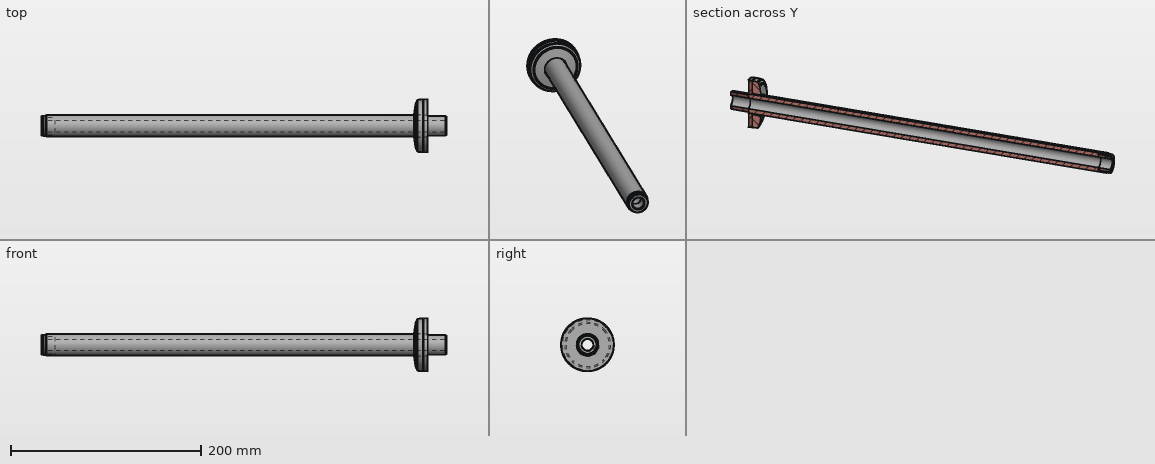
import cadquery as cq

overall_length = 426.0
flange_radius = 28.0
tube_radius = 11.5
bore_radius = 6.0

lip_length = 2.6
lip_radius = 10.6
lip_chamfer = 0.7
shank_radius = 9.2
insert_length = 14.0
mouth_chamfer = 1.0
ring_width = 2.2
ring_radius = tube_radius - 0.7
ring_end = lip_length + ring_width
tube_end_chamfer = 0.6

inlet_length = 20.0
flange_back = overall_length - inlet_length
flange_thickness = 14.4
flange_front = flange_back - flange_thickness
base_thickness = 4.2
base_front = flange_back - base_thickness
cover_hole_radius = tube_radius + 0.6
seam_chamfer = 0.8
face_radius = 22.6
face_drop = 1.5
bead_radius = 24.0
bead_drop = 0.7
shoulder_radius = 26.6
shoulder_drop = 1.1
rim_start_radius = 27.5
rim_drop = 1.0
rim_bulge_radius = 27.85

inlet_radius = 10.5
inlet_chamfer = 1.2


def sleeve(start, end, outer, inner):
    """Plain tube along X."""
    ring = cq.Workplane("YZ", origin=(start, 0, 0)).circle(outer).circle(inner)
    return ring.extrude(end - start)


def make_tube():
    tube = sleeve(ring_end, flange_back, tube_radius, bore_radius)
    socket = cq.Workplane("YZ", origin=(ring_end, 0, 0)).circle(shank_radius)
    tube = tube.cut(socket.extrude(insert_length - ring_end))
    outer_edge = tube.faces("<X").edges(cq.selectors.RadiusNthSelector(-1))
    return outer_edge.chamfer(tube_end_chamfer)


def make_insert():
    lip = sleeve(0, lip_length, lip_radius, bore_radius)
    lip = lip.faces("<X").edges(cq.selectors.RadiusNthSelector(-1)).chamfer(lip_chamfer)
    lip = lip.faces("<X").edges(cq.selectors.RadiusNthSelector(0)).chamfer(mouth_chamfer)
    shank = sleeve(lip_length, insert_length, shank_radius, bore_radius)
    return lip.union(shank)


def make_ring():
    return sleeve(lip_length, ring_end, ring_radius, shank_radius)


def make_cover():
    face_edge = flange_front + face_drop
    bead_edge = face_edge + bead_drop
    shoulder_edge = bead_edge + shoulder_drop
    rim_start = shoulder_edge + rim_drop
    rim_end = base_front - seam_chamfer
    return (
        cq.Workplane("XY")
        .moveTo(flange_front, cover_hole_radius)
        .lineTo(face_edge, face_radius)
        .lineTo(bead_edge, face_radius)
        .lineTo(bead_edge, bead_radius)
        .lineTo(shoulder_edge, shoulder_radius)
        .lineTo(rim_start, rim_start_radius)
        .threePointArc(((rim_start + rim_end) / 2, rim_bulge_radius), (rim_end, flange_radius))
        .lineTo(base_front, flange_radius - seam_chamfer)
        .lineTo(base_front, cover_hole_radius)
        .close()
        .revolve(360, (0, 0, 0), (1, 0, 0))
    )


def make_base():
    return sleeve(base_front, flange_back, flange_radius, tube_radius)


def make_nipple():
    nipple = sleeve(flange_back, overall_length, inlet_radius, bore_radius)
    return nipple.faces(">X").edges(cq.selectors.RadiusNthSelector(-1)).chamfer(inlet_chamfer)


tube = make_tube()
outlet_insert = make_insert()
sealing_ring = make_ring()
flange_cover = make_cover()
flange_base = make_base()
inlet_nipple = make_nipple()

result = cq.Compound.makeCompound([
    tube.val(),
    outlet_insert.val(),
    sealing_ring.val(),
    flange_cover.val(),
    flange_base.val(),
    inlet_nipple.val(),
])